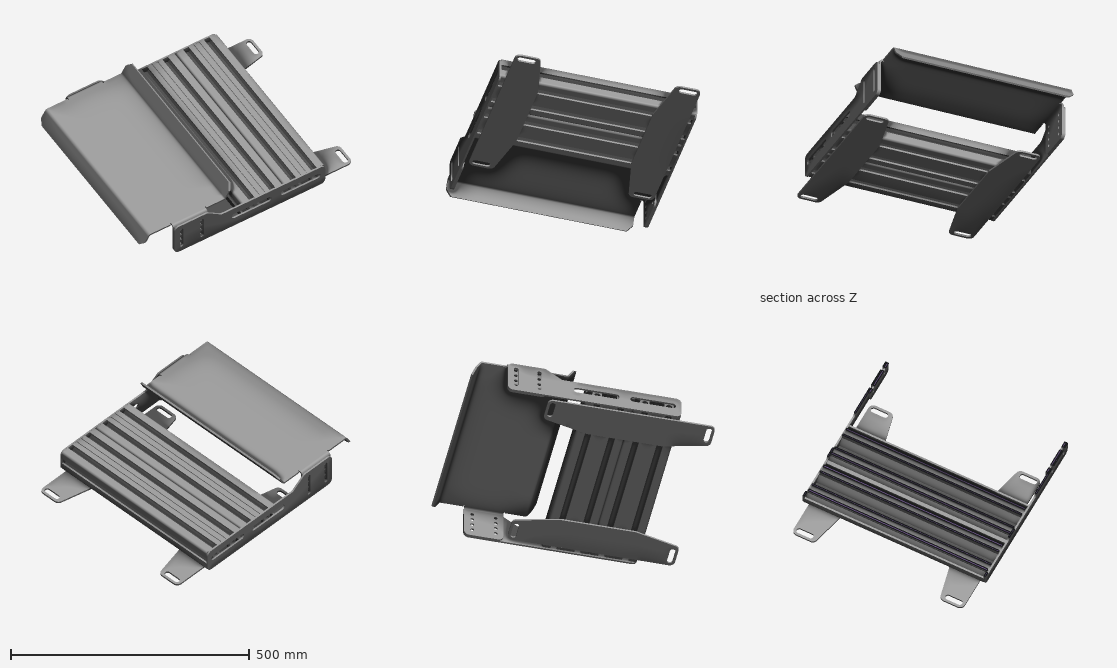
import cadquery as cq
import math


overall_width = 432.0
overall_height = 115.0
sheet = 4.0
corner_radius = 11.5

plate_length = 372.5
plate_low_top = 54.5
plate_high_top = 80.0
ramp_front = 81.0
ramp_rear = 116.0
adjust_slot_length = 98.0
adjust_slot_height = 13.5
adjust_slot_z = 30.5
adjust_slot_y = [190.5, 312.0]

hole_row_y = [18.0, 68.0]
hole_count = 4
hole_pitch = 15.5
lowest_hole_z = 17.5
flange_hole_diameter = 8.0
height_slot_width = 9.0

plank_count = 2
plank_depth = 102.5
plank_height = 50.0
plank_edge_radius = 5.0
plank_skin = 4.0
screw_rib_width = 19.5
screw_rib_y = 25.5
screw_bore_diameter = 12.5
slot_mouth = 13.5
slot_floor_width = 12.5
slot_floor_peak = 2.0
web_thickness = 3.5
tread_groove_width = 2.0
tread_groove_depth = 1.5
tread_groove_offset = 7.0

tray_front_y = -74.0
tray_rear_bend_y = 131.0
bend_angle = 60
bend_inner_radius = sheet
tray_flange_length = 84.0
tray_corner_width = 13.0
tray_corner_rise = 13.0
relief_width = 2.0
relief_depth = 3.0

bracket_tip_y = 449.5
bracket_outer_x = 202.5
bracket_inner_x = 125.5
bracket_tip_inner_x = 148.5
bracket_taper_length = 99.0
bracket_slot_length = 40.0
bracket_slot_width = 12.0
bracket_slot_x = 176.5
bracket_slot_inset = 11.5

plate_inner_x = overall_width / 2 - sheet
plank_length = 2 * plate_inner_x
planks_front_y = plate_length - plank_count * plank_depth
planks_middle_y = (planks_front_y + plate_length) / 2
plank_center_z = sheet + plank_height / 2
tray_top = plate_high_top + sheet
bend_outer_radius = bend_inner_radius + sheet
tray_half_width = plate_inner_x - bend_outer_radius
hole_row_height = (hole_count - 1) * hole_pitch
hole_row_middle_z = lowest_hole_z + hole_row_height / 2


def make_side_plate(inner_x):
    """Upright plate whose lower-X face lies at inner_x."""
    outline = [
        (0, 0),
        (plate_length, 0),
        (plate_length, plate_low_top),
        (ramp_rear, plate_low_top),
        (ramp_front, plate_high_top),
        (0, plate_high_top),
    ]
    plate = cq.Workplane("YZ").polyline(outline).close().extrude(sheet)
    plate = plate.edges("|X").fillet(corner_radius)
    adjust_slots = (
        cq.Workplane("YZ")
        .pushPoints([(y, adjust_slot_z) for y in adjust_slot_y])
        .slot2D(adjust_slot_length, adjust_slot_height)
        .extrude(sheet)
    )
    height_slots = (
        cq.Workplane("YZ")
        .pushPoints([(y, hole_row_middle_z) for y in hole_row_y])
        .slot2D(hole_row_height + height_slot_width, height_slot_width, 90)
        .extrude(sheet)
    )
    return plate.cut(adjust_slots).cut(height_slots).translate((inner_x, 0, 0))


def make_plank_bar(outline):
    """Bar along X, as long as a plank, with the given closed outline in Y and Z."""
    return cq.Workplane("YZ").polyline(outline).close().extrude(plank_length / 2, both=True)


def make_t_slot(depth):
    """T-slot cutter with its mouth at Z = 0, 45-degree sides below the lips and a ridged floor."""
    half_mouth = slot_mouth / 2
    half_floor = slot_floor_width / 2
    half_inner = half_floor + depth - plank_skin
    return make_plank_bar(
        [
            (-half_mouth, 0),
            (-half_mouth, -plank_skin),
            (-half_inner, -plank_skin),
            (-half_floor, -depth),
            (0, slot_floor_peak - depth),
            (half_floor, -depth),
            (half_inner, -plank_skin),
            (half_mouth, -plank_skin),
            (half_mouth, 0),
        ]
    )


def make_plank_cavity():
    """Eight-sided cavity whose sloping corners run parallel to the sides of the T-slots."""
    half_rib = screw_rib_width / 2
    half_width = screw_rib_y - half_rib
    half_height = plank_height / 2 - plank_skin
    slot_side_sum = screw_rib_y - slot_floor_width / 2 + half_rib
    corner_sum = slot_side_sum - web_thickness * math.sqrt(2)
    top_half_width = corner_sum - half_height
    side_half_height = corner_sum - half_width
    return make_plank_bar(
        [
            (-top_half_width, half_height),
            (top_half_width, half_height),
            (half_width, side_half_height),
            (half_width, -side_half_height),
            (top_half_width, -half_height),
            (-top_half_width, -half_height),
            (-half_width, -side_half_height),
            (-half_width, side_half_height),
        ]
    )


def make_plank(center_y):
    """Extruded plank with a central cavity, two screw bores and six T-slots."""
    plank = cq.Workplane("XY").box(plank_length, plank_depth, plank_height)
    plank = plank.edges("|X").fillet(plank_edge_radius).cut(make_plank_cavity())

    half_rib = screw_rib_width / 2
    side_slot = make_t_slot(plank_depth / 2 - screw_rib_y - half_rib).translate((0, 0, plank_depth / 2))
    top_slot = make_t_slot(plank_height / 2 - half_rib).translate((0, 0, plank_height / 2))
    tread_groove = cq.Workplane("XY").box(plank_length, tread_groove_width, 2 * tread_groove_depth)
    tread_groove = tread_groove.translate((0, 0, plank_height / 2))

    for side in (-1, 1):
        rib_y = side * screw_rib_y
        shifted_slot = top_slot.translate((0, rib_y, 0))
        plank = plank.cut(shifted_slot).cut(shifted_slot.mirror("XY"))
        plank = plank.cut(side_slot.rotate((0, 0, 0), (1, 0, 0), -side * 90))
        screw_bore = (
            cq.Workplane("YZ")
            .center(rib_y, 0)
            .circle(screw_bore_diameter / 2)
            .extrude(plank_length / 2, both=True)
        )
        plank = plank.cut(screw_bore)
        plank = plank.cut(tread_groove.translate((0, side * tread_groove_offset, 0)))

    return plank.translate((0, center_y, plank_center_z))


def make_tray_sheet():
    """Tray sheet bent down at the front and up at the rear, with clipped corners."""
    lip_rise = overall_height - tray_top
    lip_run = lip_rise / math.tan(math.radians(bend_angle))
    front_bend_y = tray_front_y + lip_run
    end_shift_y = sheet * math.sin(math.radians(bend_angle))
    end_shift_z = sheet * math.cos(math.radians(bend_angle))
    bend_shift_y = sheet * math.tan(math.radians(bend_angle / 2))
    lip_bottom = tray_top - lip_rise - end_shift_z

    front_tip = (tray_front_y, tray_top - lip_rise)
    front_bend = (front_bend_y, tray_top)
    rear_bend = (tray_rear_bend_y, tray_top)
    rear_tip = (tray_rear_bend_y + lip_run, overall_height)
    rear_tip_below = (rear_tip[0] + end_shift_y, rear_tip[1] - end_shift_z)
    rear_bend_below = (tray_rear_bend_y + bend_shift_y, plate_high_top)
    front_bend_below = (front_bend_y + bend_shift_y, plate_high_top)
    front_tip_below = (front_tip[0] + end_shift_y, lip_bottom)
    outline = [
        front_tip,
        front_bend,
        rear_bend,
        rear_tip,
        rear_tip_below,
        rear_bend_below,
        front_bend_below,
        front_tip_below,
    ]
    tray = cq.Workplane("YZ").polyline(outline).close().extrude(tray_half_width, both=True)

    bend_fillets = [
        (rear_bend, bend_inner_radius),
        (rear_bend_below, bend_outer_radius),
        (front_bend, bend_outer_radius),
        (front_bend_below, bend_inner_radius),
    ]
    for (y, z), radius in bend_fillets:
        bend_edge = cq.selectors.NearestToPointSelector((0, y, z))
        tray = tray.edges("|X").edges(bend_edge).fillet(radius)

    for tip_z, inward in ((overall_height, -1), (lip_bottom, 1)):
        for side in (-1, 1):
            edge_x = side * tray_half_width
            clip = [
                (edge_x, tip_z),
                (edge_x - side * tray_corner_width, tip_z),
                (edge_x, tip_z + inward * tray_corner_rise),
            ]
            tray = tray.cut(cq.Workplane("XZ").polyline(clip).close().extrude(plate_length, both=True))
    return tray


def make_tray_flanges():
    """Channel that carries the two side flanges of the tray and their hole rows."""
    inner_width = 2 * (plate_inner_x - sheet)
    flanges = (
        cq.Workplane("XY")
        .box(2 * plate_inner_x, tray_flange_length, tray_top, centered=(True, False, False))
        .edges("|Y and >Z")
        .fillet(bend_outer_radius)
    )
    channel = (
        cq.Workplane("XY")
        .box(inner_width, tray_flange_length, plate_high_top, centered=(True, False, False))
        .edges("|Y and >Z")
        .fillet(bend_inner_radius)
    )
    flanges = flanges.cut(channel)
    flanges = flanges.edges("|X and <Z").fillet(corner_radius)
    hole_centers = [(y, lowest_hole_z + i * hole_pitch) for y in hole_row_y for i in range(hole_count)]
    holes = (
        cq.Workplane("YZ")
        .pushPoints(hole_centers)
        .circle(flange_hole_diameter / 2)
        .extrude(plate_inner_x, both=True)
    )
    return flanges.cut(holes)


def make_tray():
    """Bent tray with side flanges and a bend relief at each end of each flange."""
    tray = make_tray_sheet()
    for side in (-1, 1):
        for relief_y in (-relief_width / 2, tray_flange_length + relief_width / 2):
            relief = cq.Workplane("XY").box(2 * relief_depth, relief_width, 2 * sheet)
            tray = tray.cut(relief.translate((side * tray_half_width, relief_y, plate_high_top)))
    return tray.union(make_tray_flanges())


def make_bracket():
    """Flat mounting bracket at +X, tapered and slotted at both ends, under the planks."""
    half_length = bracket_tip_y - planks_middle_y
    taper_start = half_length - bracket_taper_length
    outline = [
        (bracket_outer_x, half_length),
        (bracket_tip_inner_x, half_length),
        (bracket_inner_x, taper_start),
        (bracket_inner_x, -taper_start),
        (bracket_tip_inner_x, -half_length),
        (bracket_outer_x, -half_length),
    ]
    bracket = cq.Workplane("XY").polyline(outline).close().extrude(sheet)
    bracket = bracket.edges("|Z and (<Y or >Y)").fillet(corner_radius)
    slot_y = half_length - bracket_slot_inset
    slots = (
        cq.Workplane("XY")
        .pushPoints([(bracket_slot_x, slot_y), (bracket_slot_x, -slot_y)])
        .slot2D(bracket_slot_length, bracket_slot_width)
        .extrude(sheet)
    )
    return bracket.cut(slots).translate((0, planks_middle_y, 0))


side_plates = [make_side_plate(x) for x in (-overall_width / 2, plate_inner_x)]
planks = [make_plank(planks_front_y + (i + 0.5) * plank_depth) for i in range(plank_count)]
tray = make_tray()
right_bracket = make_bracket()
brackets = [right_bracket, right_bracket.mirror("YZ")]

bodies = [*side_plates, *planks, tray, *brackets]
result = cq.Compound.makeCompound([body.val() for body in bodies])